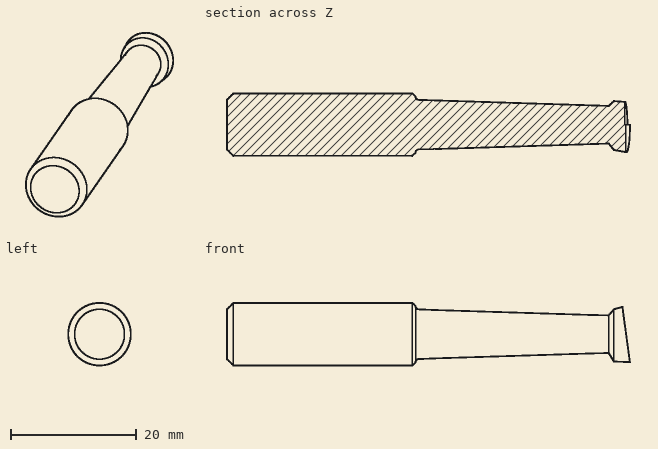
import cadquery as cq

length = 64.0
shank_radius = 5.0
shank_end = 29.45
back_chamfer = 1.0

shoulder_chamfer = 0.5
shoulder_fillet = 0.5
neck_end_radius = 3.0
neck_end = 60.6

head_back = 61.45
back_center = (-0.1, -0.2)
back_half_axes = (3.9, 4.15)
front_center = (-0.45, 0.1)
front_half_axes = (4.0, 4.6)

face_half_height = 4.5
face_top_x = 62.8
plain_side_bottom_x = 63.6
trim_margin = 6.4


def make_shank_and_neck():
    chamfer_end = shank_end + shoulder_chamfer
    chamfer_radius = shank_radius - shoulder_chamfer
    neck_start = chamfer_end + shoulder_fillet
    neck_start_radius = chamfer_radius - shoulder_fillet
    sag = shoulder_fillet * (1 - 0.5 ** 0.5)
    profile = (
        cq.Workplane("XY")
        .lineTo(0, shank_radius - back_chamfer)
        .lineTo(back_chamfer, shank_radius)
        .lineTo(shank_end, shank_radius)
        .lineTo(chamfer_end, chamfer_radius)
        .threePointArc(
            (chamfer_end + sag, neck_start_radius + sag),
            (neck_start, neck_start_radius),
        )
        .lineTo(neck_end, neck_end_radius)
        .lineTo(neck_end, 0)
        .close()
    )
    return profile.revolve(360, (0, 0, 0), (1, 0, 0))


def oval_loft(x_start, start_center, start_axes, x_end, end_center, end_axes):
    return (
        cq.Workplane("YZ", origin=(x_start, 0, 0))
        .center(*start_center)
        .ellipse(*start_axes)
        .workplane(offset=x_end - x_start)
        .center(end_center[0] - start_center[0], end_center[1] - start_center[1])
        .ellipse(*end_axes)
        .loft(ruled=True)
    )


def face_trim(bottom_x, y_direction):
    """Material removed in front of one half of the end face."""
    slope = (bottom_x - face_top_x) / (2 * face_half_height)
    trim_half_height = face_half_height + trim_margin
    top_x = face_top_x - slope * trim_margin
    low_x = bottom_x + slope * trim_margin
    outer_x = length + trim_margin
    return (
        cq.Workplane("XZ")
        .moveTo(top_x, trim_half_height)
        .lineTo(outer_x, trim_half_height)
        .lineTo(outer_x, -trim_half_height)
        .lineTo(low_x, -trim_half_height)
        .close()
        .extrude(-y_direction * trim_margin)
    )


neck_axes = (neck_end_radius, neck_end_radius)
flare = oval_loft(neck_end, (0, 0), neck_axes, head_back, back_center, back_half_axes)
head = oval_loft(head_back, back_center, back_half_axes, length, front_center, front_half_axes)

result = (
    make_shank_and_neck()
    .union(flare)
    .union(head)
    .cut(face_trim(length, -1))
    .cut(face_trim(plain_side_bottom_x, 1))
)